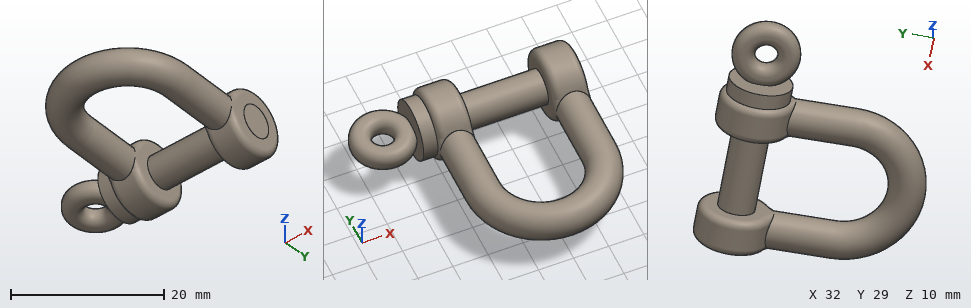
import cadquery as cq
import math

overall_length = 32.0
rod_diameter = 5.0
gap = 11.52
leg_length = 13.25
eye_diameter = 10.0
eye_fillet = 1.0
seam_steps = 6

head_diameter = 8.5
head_thickness = 2.0
ring_diameter = 9.0
ring_hole_diameter = 3.0
ring_fillet = 1.3

rod_radius = rod_diameter / 2
eye_radius = eye_diameter / 2
eye_flat_radius = eye_radius - eye_fillet
leg_offset = (gap + rod_diameter) / 2
bow_half_width = leg_offset + rod_radius
head_face = -bow_half_width - head_thickness
ring_tip = bow_half_width - overall_length
ring_thickness = (ring_diameter - ring_hole_diameter) / 2


def rod_along_x(diameter, start, end):
    """Cylinder on the pin axis from X = start to X = end."""
    return cq.Workplane("YZ", origin=(start, 0, 0)).circle(diameter / 2).extrude(end - start)


def make_eye(center):
    """Round boss with both rims filleted."""
    eye = rod_along_x(eye_diameter, center - rod_radius, center + rod_radius)
    return eye.edges("%CIRCLE").fillet(eye_fillet)


def seam_point(angle):
    """Point where the rod meets the eye's outer cylinder.

    X is measured outward from the leg axis, and the angle turns round that axis from X toward Z.
    """
    x = rod_radius * math.cos(angle)
    z = rod_radius * math.sin(angle)
    y = -math.sqrt(eye_radius**2 - z**2)
    return x, y, z


def make_runout(center, side):
    """Corner fill where the fillet on one face of an eye fades out beside the rod.

    Flat on the eye face, it narrows from the fillet's end profiles to a sharp tip on the rod.
    """

    def place(point, half=1):
        x, y, z = point
        return cq.Vector(center + side * x, y, half * z)

    def fillet_point(turn, end):
        """Point on the fillet profile through end, turned from the eye rim toward its face."""
        x = rod_radius - eye_fillet + eye_fillet * math.sin(turn)
        ratio = (eye_flat_radius + eye_fillet * math.cos(turn)) / eye_radius
        return x, end[1] * ratio, end[2] * ratio

    end_angle = math.acos((rod_radius - eye_fillet) / rod_radius)
    seam = [seam_point(end_angle * step / seam_steps) for step in range(seam_steps + 1)]
    fillet_outer = seam[-1]
    fillet_middle = fillet_point(math.pi / 4, fillet_outer)
    fillet_inner = fillet_point(math.pi / 2, fillet_outer)
    tip = place(seam[0])
    root = place((0, -eye_flat_radius, 0))

    faces = []
    for half in (1, -1):
        outer = place(fillet_outer, half)
        inner = place(fillet_inner, half)
        profile = cq.Edge.makeThreePointArc(inner, place(fillet_middle, half), outer)
        seam_edge = cq.Edge.makeSpline([place(point, half) for point in seam])
        face_edge = cq.Edge.makeLine(inner, tip)
        root_to_tip = cq.Edge.makeLine(root, tip)
        root_to_outer = cq.Edge.makeLine(root, outer)
        root_to_inner = cq.Edge.makeLine(root, inner)
        faces.append(cq.Face.makeNSidedSurface([face_edge, seam_edge, profile], []))
        faces.append(cq.Face.makeNSidedSurface([root_to_tip, seam_edge, root_to_outer], []))
        faces.append(cq.Face.makeNSidedSurface([root_to_inner, profile, root_to_outer], []))

    upper = place(fillet_inner, 1)
    lower = place(fillet_inner, -1)
    for apex in (tip, root):
        faces.append(cq.Face.makeFromWires(cq.Wire.makePolygon([upper, lower, apex], close=True)))
    return cq.Workplane(obj=cq.Solid.makeSolid(cq.Shell.makeShell(faces)))


def make_bow():
    """U-bent rod with an eye on each end, bored through for the pin."""
    path = (
        cq.Workplane("XY")
        .moveTo(-leg_offset, 0)
        .lineTo(-leg_offset, -leg_length)
        .threePointArc((0, -leg_length - leg_offset), (leg_offset, -leg_length))
        .lineTo(leg_offset, 0)
    )
    bow = cq.Workplane("XZ", origin=(-leg_offset, 0, 0)).circle(rod_radius).sweep(path)
    for center in (-leg_offset, leg_offset):
        for side in (-1, 1):
            bow = bow.union(make_runout(center, side))
        bow = bow.union(make_eye(center))
    return bow.cut(rod_along_x(rod_diameter, -bow_half_width, bow_half_width))


def make_ring():
    """Flat ring in the XY plane with a heavily rounded square section."""
    ring = (
        cq.Workplane("XY", origin=(ring_tip + ring_diameter / 2, 0, -ring_thickness / 2))
        .circle(ring_diameter / 2)
        .circle(ring_hole_diameter / 2)
        .extrude(ring_thickness)
    )
    return ring.edges("%CIRCLE").fillet(ring_fillet)


def make_pin():
    """Shank flush with the far eye, a round head against the near eye, and a finger ring."""
    shank = rod_along_x(rod_diameter, -bow_half_width, bow_half_width)
    head = rod_along_x(head_diameter, head_face, -bow_half_width)
    return shank.union(head).union(make_ring())


bow = make_bow()
pin = make_pin()

result = cq.Compound.makeCompound([bow.val(), pin.val()])